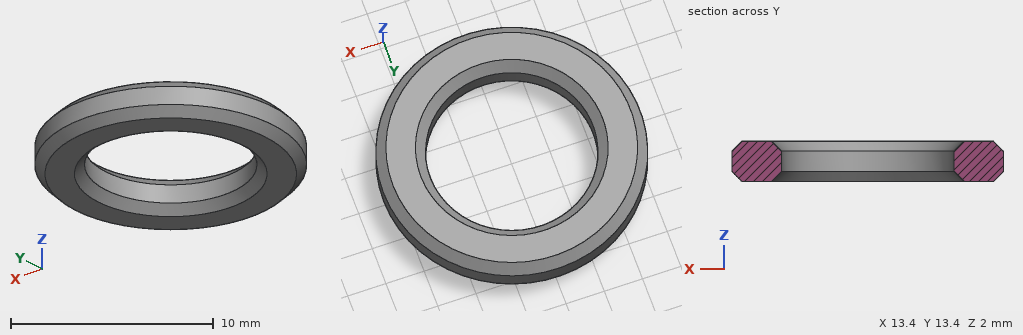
import cadquery as cq

outer_diameter = 13.4
bore_diameter = 8.5
thickness = 2.0
chamfer = thickness / 4

ring = (
    cq.Workplane("XY")
    .circle(outer_diameter / 2)
    .circle(bore_diameter / 2)
    .extrude(thickness)
)

result = ring.faces("|Z").edges().chamfer(chamfer)